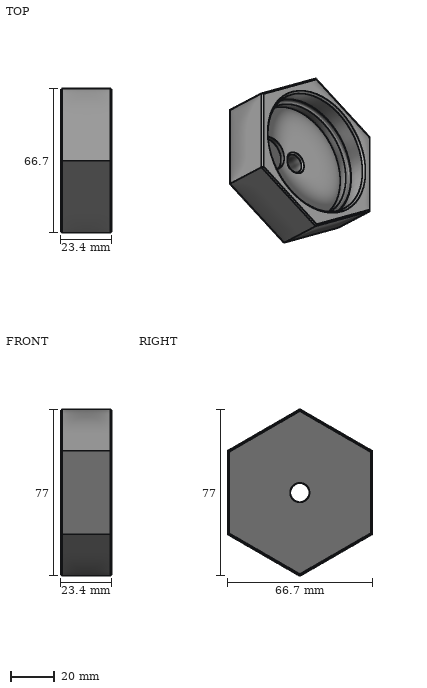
import cadquery as cq

thickness = 23.4
across_corners = 77.0
edge_chamfer = 0.7

bore_radius = 29.1
mouth_chamfer = 1.0
bore_depth = 10.8
recess_depth = 3.9
cavity_depth = bore_depth + recess_depth
recess_radius = 27.5

relief_radius = 29.3
relief_width = 1.7
relief_fillet = 0.6

hole_radius = 4.4
hole_chamfer = 0.85

pocket_radius = 8.0
pocket_offset = 15.0
pocket_depth = 2.2


def cylinder_along_x(radius, start, length, y=0):
    """Solid cylinder parallel to X, starting at x = start."""
    return cq.Workplane("YZ", origin=(start, y, 0)).circle(radius).extrude(length)


def rim_cone(radius, start, size):
    """45-degree cone that breaks the rim of a bore opening at x = start."""
    base = cq.Vector(start, 0, 0)
    axis = cq.Vector(1, 0, 0)
    return cq.Workplane(cq.Solid.makeCone(radius + size, radius, size, base, axis))


def hexagonal_body():
    body = (
        cq.Workplane("YZ")
        .transformed(rotate=(0, 0, 90))
        .polygon(6, across_corners)
        .extrude(thickness)
    )
    return body.faces("<X or >X").edges().chamfer(edge_chamfer)


def cavity():
    bore = cylinder_along_x(bore_radius, 0, bore_depth - relief_width)
    relief = cylinder_along_x(relief_radius, bore_depth - relief_width, relief_width)
    relief = relief.faces(">X").edges().fillet(relief_fillet)
    mouth = rim_cone(bore_radius, 0, mouth_chamfer)
    recess = cylinder_along_x(recess_radius, 0, cavity_depth)
    return recess.union(bore).union(relief).union(mouth)


def through_hole():
    hole = cylinder_along_x(hole_radius, 0, thickness)
    return hole.union(rim_cone(hole_radius, cavity_depth, hole_chamfer))


def floor_pocket():
    return cylinder_along_x(pocket_radius, cavity_depth, pocket_depth, y=pocket_offset)


result = hexagonal_body().cut(cavity()).cut(through_hole()).cut(floor_pocket())